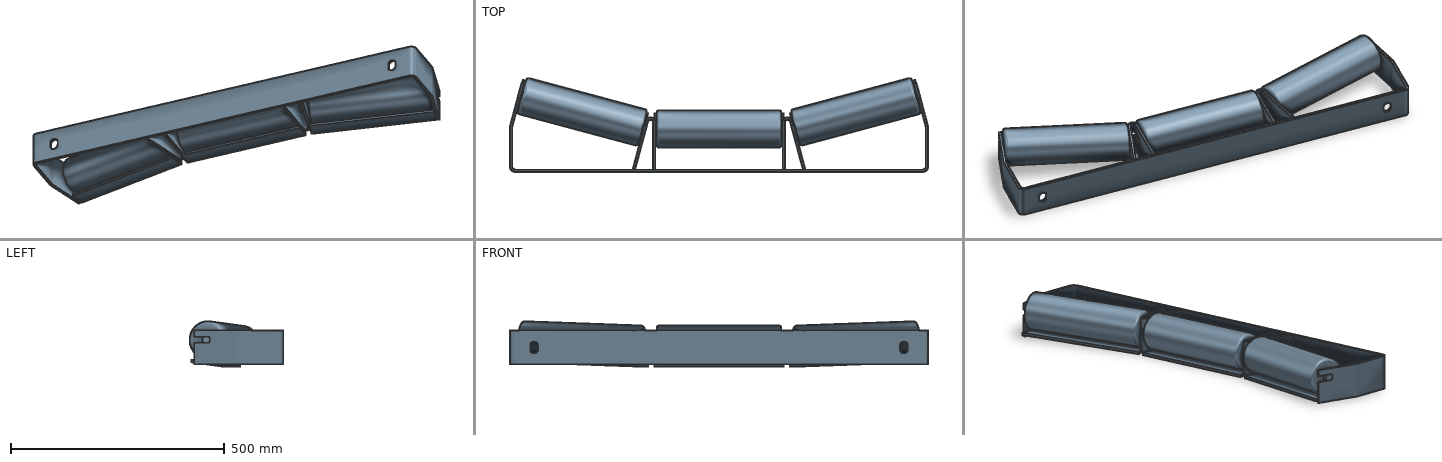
import cadquery as cq
import math

STRIP_HEIGHT = 79.0
STRIP_THICKNESS = 6.0

FRAME_LENGTH = 980.0
WING_TIP_Y = 209.0
FRAME_BEND_RADIUS = 10.0

MOUNT_HOLE_X = 433.0
MOUNT_HOLE_WIDTH = 19.0
MOUNT_HOLE_HEIGHT = 27.0

BRACKET_BEND_RADIUS = 9.0

TROUGH_ANGLE = 15.0
FORWARD_TILT = 2.0
SUPPORT_HALF_GAP = 149.0
MIDDLE_AXIS_Y = 101.0
SIDE_CENTER_X = 320.0
SIDE_CENTER_Y = 141.0

ROLLER_RADIUS = 44.0
ROLLER_HALF_LENGTH = 146.0
ROLLER_END_FILLET = 6.0
AXLE_DIAMETER = 19.0
AXLE_FLAT_WIDTH = 15.0

GUARD_LENGTH = 304.0
GUARD_WIDTH = 36.0
GUARD_DROP = 47.0

SIDES = (-1, 1)
TROUGH_SIN = math.sin(math.radians(TROUGH_ANGLE))
TROUGH_COS = math.cos(math.radians(TROUGH_ANGLE))
TROUGH_TAN = math.tan(math.radians(TROUGH_ANGLE))

MIDDLE_AXIS_Z = GUARD_DROP
SIDE_CENTER_Z = MIDDLE_AXIS_Z + SUPPORT_HALF_GAP * math.tan(math.radians(FORWARD_TILT))
SUPPORT_MID_GAP = SUPPORT_HALF_GAP + STRIP_THICKNESS / 2


def place_middle(body):
    """Move a body from roller axes to the middle station."""
    return body.translate((0, MIDDLE_AXIS_Y, MIDDLE_AXIS_Z))


def place_side(body, side):
    """Move a body from roller axes to the left (-1) or right (1) station."""
    tilted = body.rotate((0, 0, 0), (0, 1, 0), -side * FORWARD_TILT)
    turned = tilted.rotate((0, 0, 0), (0, 0, 1), side * TROUGH_ANGLE)
    return turned.translate((side * SIDE_CENTER_X, SIDE_CENTER_Y, SIDE_CENTER_Z))


def place_all(body):
    """Copies of a body at the middle, left and right stations."""
    return [place_middle(body)] + [place_side(body, side) for side in SIDES]


def side_support_x(offset, y):
    """X of a right-hand support line at the given y.

    The line crosses the side roller's axis squarely, at offset from the roller centre.
    """
    axis_x = SIDE_CENTER_X + offset * TROUGH_COS
    axis_y = SIDE_CENTER_Y + offset * TROUGH_SIN
    return axis_x - (y - axis_y) * TROUGH_TAN


def make_strip(points, bend_radius):
    """Upright strip whose mid-thickness line follows the points, with round bends."""
    corners = [cq.Vector(x, y, 0) for x, y in points]
    line = cq.Wire.assembleEdges(
        [cq.Edge.makeLine(start, end) for start, end in zip(corners, corners[1:])]
    )
    path = line.fillet(bend_radius, line.Vertices()[1:-1])
    start_plane = cq.Plane(corners[0], xDir=(0, 0, 1), normal=corners[1] - corners[0])
    return (
        cq.Workplane(start_plane)
        .center(STRIP_HEIGHT / 2, 0)
        .rect(STRIP_HEIGHT, STRIP_THICKNESS)
        .sweep(cq.Workplane(path))
    )


def make_cylinder(radius, half_length):
    """Cylinder along X, centred on the origin."""
    return cq.Workplane("YZ", origin=(-half_length, 0, 0)).circle(radius).extrude(2 * half_length)


def make_axle(half_length):
    """Round axle along X with flats above and below."""
    bar = make_cylinder(AXLE_DIAMETER / 2, half_length)
    flats = cq.Workplane("XY").box(2 * half_length, AXLE_DIAMETER, AXLE_FLAT_WIDTH)
    return bar.intersect(flats)


def make_axle_slots():
    """Cutter for the axle seats of one roller, open towards +Y.

    It runs past the supports so that it also opens the fold of a bracket.
    """
    half_length = SUPPORT_HALF_GAP + 2 * STRIP_THICKNESS
    mouth = cq.Workplane("XY").box(
        2 * half_length, 2 * ROLLER_RADIUS, AXLE_FLAT_WIDTH, centered=(True, False, True)
    )
    return make_axle(half_length).union(mouth)


def make_roller():
    """Roller along X, in one piece with its axle, which ends flush with the supports."""
    axle = make_axle(SUPPORT_HALF_GAP + STRIP_THICKNESS)
    drum = (
        make_cylinder(ROLLER_RADIUS, ROLLER_HALF_LENGTH)
        .faces("<X or >X")
        .edges()
        .fillet(ROLLER_END_FILLET)
    )
    return drum.union(axle)


def make_frame():
    """Back strip, side arms and wings, before the axle seats are cut."""
    arm_x = (FRAME_LENGTH - STRIP_THICKNESS) / 2
    back_y = STRIP_THICKNESS / 2
    tip_x = side_support_x(SUPPORT_MID_GAP, WING_TIP_Y)
    bend_y = WING_TIP_Y - (arm_x - tip_x) / TROUGH_TAN
    right_half = [(arm_x, back_y), (arm_x, bend_y), (tip_x, WING_TIP_Y)]
    left_half = [(-x, y) for x, y in reversed(right_half)]
    frame = make_strip(left_half + right_half, FRAME_BEND_RADIUS)
    mount_holes = (
        cq.Workplane("XZ")
        .pushPoints([(side * MOUNT_HOLE_X, STRIP_HEIGHT / 2) for side in SIDES])
        .slot2D(MOUNT_HOLE_HEIGHT, MOUNT_HOLE_WIDTH, 90)
        .extrude(-STRIP_THICKNESS)
    )
    return frame.cut(mount_holes)


def make_bracket():
    """Right bracket: one leg across the middle axis, the other across the side axis."""
    inner_x = SUPPORT_MID_GAP
    foot_x = side_support_x(-SUPPORT_MID_GAP, 0)
    apex_y = (foot_x - inner_x) / TROUGH_TAN
    bracket = make_strip([(inner_x, 0), (inner_x, apex_y), (foot_x, 0)], BRACKET_BEND_RADIUS)
    back_strip_space = cq.Workplane("XY").box(FRAME_LENGTH, 2 * STRIP_THICKNESS, 2 * STRIP_HEIGHT)
    return bracket.cut(back_strip_space)


def make_guard():
    """Flat plate along X, with one edge straight below the roller axis."""
    return (
        cq.Workplane("XY")
        .box(GUARD_LENGTH, GUARD_WIDTH, STRIP_THICKNESS, centered=(True, False, False))
        .translate((0, 0, -GUARD_DROP - STRIP_THICKNESS))
    )


frame = make_frame()
right_bracket = make_bracket()
brackets = [right_bracket, right_bracket.mirror("YZ")]
for slots in place_all(make_axle_slots()):
    frame = frame.cut(slots)
    brackets = [bracket.cut(slots) for bracket in brackets]

rollers = place_all(make_roller())
guards = [guard.cut(frame) for guard in place_all(make_guard())]

result = cq.Compound.makeCompound(
    [body.val() for body in [frame, *brackets, *rollers, *guards]]
)